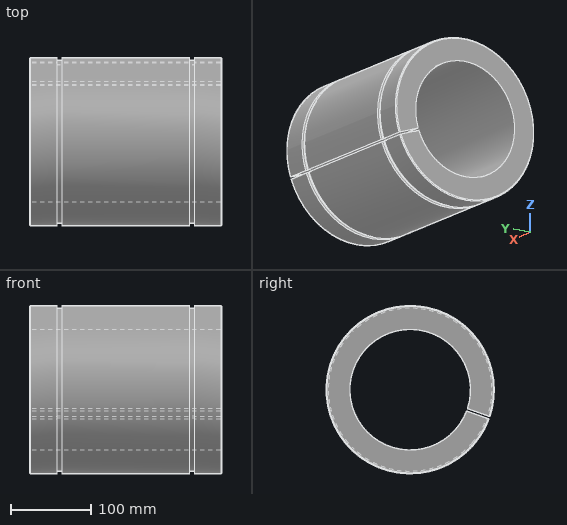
import cadquery as cq

length = 240.0
outer_diameter = 210.0
bore_diameter = 150.0
end_chamfer = 1.2
groove_width = 5.8
groove_depth = 3.0
groove_outer_spacing = 171.0
slit_width = 3.0
slit_angle = 19.5

outer_radius = outer_diameter / 2


def tube(outer, inner, start_x, tube_length):
    """Hollow cylinder along X, centred on the X axis."""
    return (
        cq.Workplane("YZ", origin=(start_x, 0, 0))
        .circle(outer)
        .circle(inner)
        .extrude(tube_length)
    )


body = cq.Workplane("YZ", origin=(-length / 2, 0, 0)).circle(outer_radius).extrude(length)
body = body.edges("%CIRCLE").chamfer(end_chamfer)
bore = cq.Workplane("YZ", origin=(-length / 2, 0, 0)).circle(bore_diameter / 2).extrude(length)
result = body.cut(bore)

groove_offset = (groove_outer_spacing - groove_width) / 2
for center_x in (-groove_offset, groove_offset):
    groove = tube(outer_radius + groove_depth, outer_radius - groove_depth,
                  center_x - groove_width / 2, groove_width)
    result = result.cut(groove)

slit = (
    cq.Workplane("XY")
    .box(length, outer_diameter, slit_width, centered=(True, False, True))
    .rotate((0, 0, 0), (1, 0, 0), -slit_angle)
)
result = result.cut(slit)